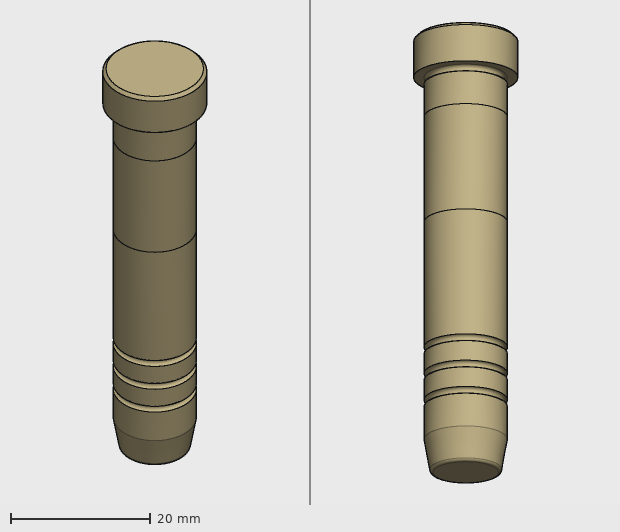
import cadquery as cq
import math

total_length = 66.0
shank_radius = 6.0

head_radius = 7.5
head_height = 6.0
head_chamfer = 0.5

groove_radius = 0.5
tip_groove_count = 3
tip_groove_pitch = 4.0
lowest_groove_z = 10.5

tip_height = 5.0
tip_taper_angle = 10.0
tip_radius = shank_radius - tip_height * math.tan(math.radians(tip_taper_angle))
tip_edge_fillet = 0.5

head_body_bottom = 54.0
middle_body_bottom = 38.0

head_bottom = total_length - head_height


def cylinder(radius, bottom, top):
    """Upright cylinder on the Z axis between two levels."""
    return cq.Workplane("XY").workplane(offset=bottom).circle(radius).extrude(top - bottom)


def ring_cutter(center_z):
    """Ring of round section centred on the shank surface, which leaves a half-round groove."""
    return (
        cq.Workplane("XZ")
        .center(shank_radius, center_z)
        .circle(groove_radius)
        .revolve(360, (-shank_radius, 0), (-shank_radius, 1))
    )


def make_head_body():
    """Chamfered head with a short length of shank and the relief groove under the head."""
    head = cylinder(head_radius, head_bottom, total_length).faces(">Z").chamfer(head_chamfer)
    neck = cylinder(shank_radius, head_body_bottom, head_bottom)
    groove = ring_cutter(head_bottom - groove_radius)
    return head.union(neck.cut(groove))


def make_middle_body():
    """Plain length of shank."""
    return cylinder(shank_radius, middle_body_bottom, head_body_bottom)


def make_tip_body():
    """Grooved shank ending in a tapered lead-in with a rounded lower edge."""
    body = cylinder(shank_radius, tip_height, middle_body_bottom)
    lead_in = (
        cq.Workplane("XY")
        .circle(tip_radius)
        .workplane(offset=tip_height)
        .circle(shank_radius)
        .loft()
        .faces("<Z")
        .edges()
        .fillet(tip_edge_fillet)
    )
    body = body.union(lead_in)
    for index in range(tip_groove_count):
        body = body.cut(ring_cutter(lowest_groove_z + index * tip_groove_pitch))
    return body


head_body = make_head_body()
middle_body = make_middle_body()
tip_body = make_tip_body()

result = cq.Compound.makeCompound([head_body.val(), middle_body.val(), tip_body.val()])